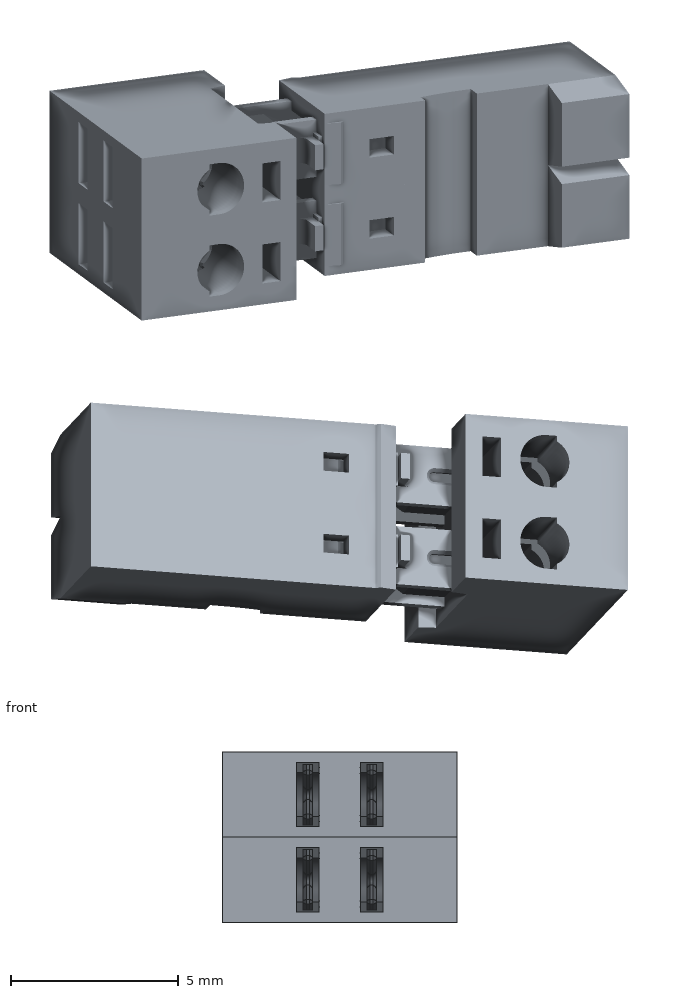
import cadquery as cq
import math

LENGTH = 16.1
PITCH = 2.55

BLOCK_WIDTH = 7.0
BLOCK_LENGTH = 5.0
RECESS_FLOOR = 4.49
RECESS_FLOOR_WIDTH = 3.64
RECESS_MOUTH_WIDTH = 3.83

BLADE_INNER = 0.8
BLADE_THICK = 0.29
BLADE_OUTER = BLADE_INNER + BLADE_THICK
BLADE_MID = BLADE_INNER + BLADE_THICK / 2
BLADE_HEIGHT = 1.8
FORK_TIP_Y = 2.96
FORK_TIP_INNER = 0.58
FORK_TIP_OUTER = 0.72
FORK_SHOULDER_Y = 3.15
SLIT_HALF = 0.153
SLIT_START_Y = 3.38
SLIT_END_Y = 5.45
FORK_BEVEL = 0.1
SELECTION_MARGIN = 0.03

WIRE_Y = 2.51
WIRE_RADIUS = 0.8
WIRE_SEAT_RADIUS = 0.71
WIRE_CHANNEL_FRONT = 2.19
SLOT_DEPTH = 2.98
SLOT_WIDTH = 0.68
SLOT_HEIGHT = 1.92
WINDOW_FRONT = 3.91
WINDOW_HEIGHT = 1.22

PLUG_SHOULDER_Y = 5.78
PLUG_TIP_Y = 6.5
PLUG_HEIGHT = 1.22
PLUG_TIP_WIDTH = 0.85
PLUG_TIP_HEIGHT = 0.61

TAB_FRONT = 6.3
TAB_BACK = 6.57
TAB_REACH = 1.92
TAB_HEIGHT = 0.79
TAB_FILLET = 0.23

BOX_FRONT = 6.68
BOX_WIDTH = 3.48
FLARE_PEAK_Y = 7.16
FLARE_END_Y = 7.31
FLARE_RISE = 0.1
FLARE_HEIGHT_RIGHT = 1.93
LIP_FRONT = TAB_BACK
LIP_REACH = 1.53
LIP_HEIGHT = 1.01
SOCKET_WIDTH = 1.16
SOCKET_HEIGHT = 1.22
SOCKET_END_Y = 9.02
SOCKET_LEDGE_Z = -0.08
SOCKET_LEDGE_END_Y = 7.2

LATCH_FRONT = 8.13
LATCH_BACK = 8.92
LATCH_HEIGHT = 0.58
BARB_PEAK_Y = 8.34
BARB_BACK = 8.82
BARB_RISE = 0.16
BARB_HEIGHT = 0.48

NOTCH_FRONT = 9.93
NOTCH_BACK = 11.61
NOTCH_FLOOR_FRONT = 1.4
NOTCH_FLOOR_BACK = 1.27
NOTCH_RADIUS = 9.18
KEY_FRONT = 13.91
KEY_REACH = 2.8
KEY_TAPER = 0.27

SIDES = (-1, 1)


def box(x_start, x_end, y_start, y_end, height):
    """Block centred on Z = 0 between two X and two Y positions."""
    return (
        cq.Workplane("XY")
        .box(x_end - x_start, y_end - y_start, height)
        .translate(((x_start + x_end) / 2, (y_start + y_end) / 2, 0))
    )


def plate(points, height):
    """Flat XY outline extruded evenly about Z = 0."""
    return cq.Workplane("XY").polyline(points).close().extrude(height / 2, both=True)


def on_side(shape, side):
    """Shape as built for +X, or its mirror image for -X."""
    return shape if side > 0 else shape.mirror("YZ")


def front_block():
    half = BLOCK_WIDTH / 2
    floor = RECESS_FLOOR_WIDTH / 2
    mouth = RECESS_MOUTH_WIDTH / 2
    return plate(
        [
            (-half, 0),
            (half, 0),
            (half, BLOCK_LENGTH),
            (mouth, BLOCK_LENGTH),
            (floor, RECESS_FLOOR),
            (-floor, RECESS_FLOOR),
            (-mouth, BLOCK_LENGTH),
            (-half, BLOCK_LENGTH),
        ],
        PITCH,
    )


def wire_bore():
    """Cross bore along X: a round-backed channel with a narrower round seat ahead of it."""
    seat = cq.Workplane("YZ").center(WIRE_Y, 0).circle(WIRE_SEAT_RADIUS).extrude(BLOCK_WIDTH / 2, both=True)
    channel = (
        cq.Workplane("YZ")
        .moveTo(WIRE_CHANNEL_FRONT, -WIRE_RADIUS)
        .lineTo(WIRE_Y, -WIRE_RADIUS)
        .threePointArc((WIRE_Y + WIRE_RADIUS, 0), (WIRE_Y, WIRE_RADIUS))
        .lineTo(WIRE_CHANNEL_FRONT, WIRE_RADIUS)
        .close()
        .extrude(BLOCK_WIDTH / 2, both=True)
    )
    return seat.union(channel)


def block_openings():
    """Entry slot, blade channel and side window of the +X half of the block."""
    slot = box(BLADE_MID - SLOT_WIDTH / 2, BLADE_MID + SLOT_WIDTH / 2, 0, SLOT_DEPTH, SLOT_HEIGHT)
    channel = box(BLADE_INNER, BLADE_OUTER, SLOT_DEPTH, RECESS_FLOOR, BLADE_HEIGHT)
    window = box(BLADE_OUTER, BLOCK_WIDTH / 2, WINDOW_FRONT, RECESS_FLOOR, WINDOW_HEIGHT)
    return slot.union(channel).union(window)


def fork_outline():
    """Side outline of the forked blade end: pointed prongs, V mouth and round-ended slit."""
    half = BLADE_HEIGHT / 2
    slit_centre = SLIT_END_Y - SLIT_HALF
    return (
        cq.Workplane("YZ", origin=(BLADE_INNER, 0, 0))
        .moveTo(BOX_FRONT, half)
        .lineTo(FORK_SHOULDER_Y, half)
        .lineTo(FORK_TIP_Y, FORK_TIP_OUTER)
        .lineTo(FORK_TIP_Y, FORK_TIP_INNER)
        .lineTo(SLIT_START_Y, SLIT_HALF)
        .lineTo(slit_centre, SLIT_HALF)
        .threePointArc((SLIT_END_Y, 0), (slit_centre, -SLIT_HALF))
        .lineTo(SLIT_START_Y, -SLIT_HALF)
        .lineTo(FORK_TIP_Y, -FORK_TIP_INNER)
        .lineTo(FORK_TIP_Y, -FORK_TIP_OUTER)
        .lineTo(FORK_SHOULDER_Y, -half)
        .lineTo(BOX_FRONT, -half)
        .close()
    )


def blade():
    """Forked contact blade at +X, its prongs, mouth and slit bevelled on both faces."""
    blank = fork_outline().extrude(BLADE_THICK)
    inside_fork = BLADE_HEIGHT / 2 - SELECTION_MARGIN
    fork_edges = cq.selectors.BoxSelector(
        (BLADE_INNER - SELECTION_MARGIN, FORK_TIP_Y - SELECTION_MARGIN, -inside_fork),
        (BLADE_OUTER + SELECTION_MARGIN, SLIT_END_Y + SELECTION_MARGIN, inside_fork),
    )
    return blank.faces("<X or >X").edges(fork_edges).chamfer(FORK_BEVEL)


def stop_tab():
    """Tab bent out of the +X blade, with a fillet in its front corner."""
    fillet_front = TAB_FRONT - TAB_FILLET
    corner = TAB_FILLET * (1 - math.sqrt(0.5))
    return (
        cq.Workplane("XY")
        .moveTo(BLADE_OUTER, TAB_BACK)
        .lineTo(TAB_REACH, TAB_BACK)
        .lineTo(TAB_REACH, TAB_FRONT)
        .lineTo(BLADE_OUTER + TAB_FILLET, TAB_FRONT)
        .threePointArc((BLADE_OUTER + corner, TAB_FRONT - corner), (BLADE_OUTER, fillet_front))
        .close()
        .extrude(TAB_HEIGHT / 2, both=True)
    )


def plug():
    """Tongue between the blades, tapering on all four sides to its tip."""
    shank = box(-BLADE_INNER, BLADE_INNER, RECESS_FLOOR, PLUG_SHOULDER_Y, PLUG_HEIGHT)
    tip = (
        cq.Workplane("XZ", origin=(0, PLUG_SHOULDER_Y, 0))
        .rect(2 * BLADE_INNER, PLUG_HEIGHT)
        .workplane(offset=PLUG_SHOULDER_Y - PLUG_TIP_Y)
        .rect(PLUG_TIP_WIDTH, PLUG_TIP_HEIGHT)
        .loft()
    )
    return shank.union(tip)


def flare(height):
    """Ridge along Z on the +X side, just behind the front face of the box."""
    side = BOX_WIDTH / 2
    return plate([(side, BOX_FRONT), (side + FLARE_RISE, FLARE_PEAK_Y), (side, FLARE_END_Y)], height)


def rear_box():
    """Long box with a full-height flare on its -X side and a shorter one on its +X side."""
    shell = box(-BOX_WIDTH / 2, BOX_WIDTH / 2, BOX_FRONT, LENGTH, PITCH)
    return shell.union(on_side(flare(PITCH), -1)).union(flare(FLARE_HEIGHT_RIGHT))


def socket():
    """Pocket in the front of the box, widened to the blades above a ledge near its mouth."""
    pocket = box(-SOCKET_WIDTH / 2, SOCKET_WIDTH / 2, BOX_FRONT, SOCKET_END_Y, SOCKET_HEIGHT)
    widening_height = SOCKET_HEIGHT / 2 - SOCKET_LEDGE_Z
    widening = box(-BLADE_INNER, BLADE_INNER, BOX_FRONT, SOCKET_LEDGE_END_Y, widening_height)
    return pocket.union(widening.translate((0, 0, SOCKET_LEDGE_Z + widening_height / 2)))


def side_notch():
    """Shallow notch through the +X side, its floor curving outward toward the front."""
    outside = BOX_WIDTH / 2
    return (
        cq.Workplane("XY")
        .moveTo(outside, NOTCH_FRONT)
        .lineTo(outside, NOTCH_BACK)
        .lineTo(NOTCH_FLOOR_BACK, NOTCH_BACK)
        .radiusArc((NOTCH_FLOOR_FRONT, NOTCH_FRONT), -NOTCH_RADIUS)
        .close()
        .extrude(PITCH / 2, both=True)
    )


def key():
    """Rear key on the +X side, tapering in height away from the box."""
    inner = BOX_WIDTH / 2
    root = PITCH / 2
    edge = root - KEY_TAPER
    return (
        cq.Workplane("XZ", origin=(0, LENGTH, 0))
        .polyline([(inner, -root), (KEY_REACH, -edge), (KEY_REACH, edge), (inner, root)])
        .close()
        .extrude(LENGTH - KEY_FRONT)
    )


def latch_window():
    return box(BLADE_OUTER, BOX_WIDTH / 2, LATCH_FRONT, LATCH_BACK, LATCH_HEIGHT)


def latch_barb():
    """Wedge-shaped barb on the floor of the +X latch window."""
    peak = (BLADE_OUTER + BARB_RISE, BARB_PEAK_Y)
    return plate([(BLADE_OUTER, LATCH_FRONT), peak, (BLADE_OUTER, BARB_BACK)], BARB_HEIGHT)


def terminal():
    body = front_block().union(rear_box()).union(key())
    body = body.cut(wire_bore()).cut(socket()).cut(side_notch())
    for side in SIDES:
        body = body.cut(on_side(block_openings(), side)).cut(on_side(latch_window(), side))
    body = body.union(plug())
    for side in SIDES:
        lip = box(BLADE_OUTER, LIP_REACH, LIP_FRONT, BOX_FRONT, LIP_HEIGHT)
        for part in (blade(), stop_tab(), latch_barb(), lip):
            body = body.union(on_side(part, side))
    return body


terminals = [terminal().translate((0, 0, level * PITCH)).val() for level in (-0.5, 0.5)]

result = cq.Compound.makeCompound(terminals)